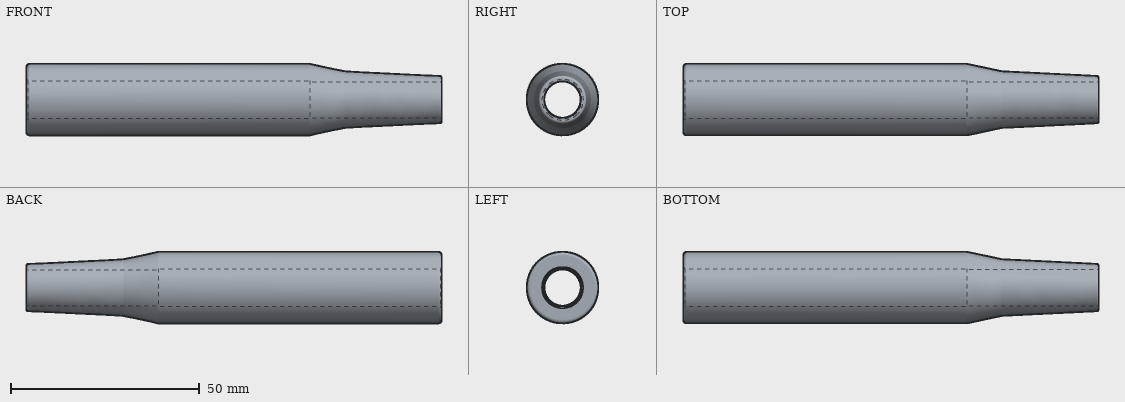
import cadquery as cq

length = 110.0
body_diameter = 19.0
shank_length = 75.0
shoulder_length = 9.2
neck_diameter = 15.1
tip_diameter = 12.5

rear_fillet = 1.0
tip_fillet = 0.7

bore_diameter = 9.6
entry_diameter = 10.0
entry_depth = shank_length
mouth_chamfer = 0.4

rear_x = -length / 2
tip_x = length / 2
shoulder_x = rear_x + shank_length
neck_x = shoulder_x + shoulder_length


def revolve_about_x(profile):
    """Turn a closed (x, radius) outline around the part axis."""
    return cq.Workplane("XY").polyline(profile).close().revolve(360, (0, 0, 0), (1, 0, 0))


def make_body():
    """Cylindrical shank, tapered shoulder and tapered nose with rounded ends."""
    body = revolve_about_x([
        (rear_x, 0),
        (rear_x, body_diameter / 2),
        (shoulder_x, body_diameter / 2),
        (neck_x, neck_diameter / 2),
        (tip_x, tip_diameter / 2),
        (tip_x, 0),
    ])
    body = body.faces("<X").edges().fillet(rear_fillet)
    return body.faces(">X").edges().fillet(tip_fillet)


def make_bore():
    """Stepped through bore with its chamfered mouth."""
    entry_radius = entry_diameter / 2
    entry_end_x = rear_x + entry_depth
    return revolve_about_x([
        (rear_x, 0),
        (rear_x, entry_radius + mouth_chamfer),
        (rear_x + mouth_chamfer, entry_radius),
        (entry_end_x, entry_radius),
        (entry_end_x, bore_diameter / 2),
        (tip_x, bore_diameter / 2),
        (tip_x, 0),
    ])


result = make_body().cut(make_bore())